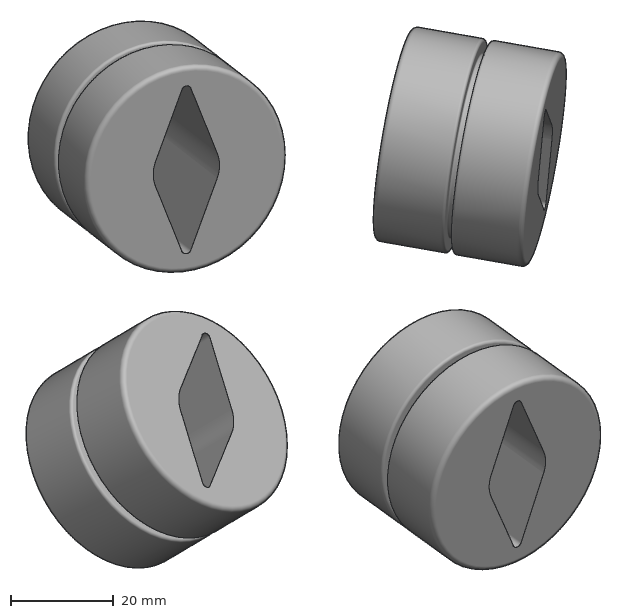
import cadquery as cq
import math

length = 30.0
radius = 21.25
end_fillet = 1.0

groove_width = 1.3
groove_floor_radius = 18.0
groove_rim_fillet = 0.6
groove_floor_fillet = 0.4

opening_half_height = 17.3
tip_radius = 1.0
waist_radius = 7.0


def make_half_body():
    """Half of the body, from the end face at -X to the middle of the groove."""
    groove_wall_x = -groove_width / 2
    land_length = length / 2 - groove_width / 2
    land = cq.Workplane("YZ", origin=(-length / 2, 0, 0)).circle(radius).extrude(land_length)
    land = land.faces("<X").edges().fillet(end_fillet)
    land = land.faces(">X").edges().fillet(groove_rim_fillet)

    fillet_end_x = groove_wall_x + groove_floor_fillet
    fillet_top = groove_floor_radius + groove_floor_fillet
    arc_offset = groove_floor_fillet * (1 - math.sqrt(0.5))
    floor = (
        cq.Workplane("XY")
        .moveTo(groove_wall_x, 0)
        .lineTo(groove_wall_x, fillet_top)
        .threePointArc(
            (groove_wall_x + arc_offset, groove_floor_radius + arc_offset),
            (fillet_end_x, groove_floor_radius),
        )
        .lineTo(0, groove_floor_radius)
        .lineTo(0, 0)
        .close()
        .revolve(360, (0, 0, 0), (1, 0, 0))
    )
    return land.union(floor)


def make_opening():
    """Diamond prism: a waist circle and two tip circles joined by tangent lines."""
    tip_center = opening_half_height - tip_radius
    side_angle = math.asin((waist_radius - tip_radius) / tip_center)
    across = math.cos(side_angle)
    along = math.sin(side_angle)
    waist_y = waist_radius * across
    waist_z = waist_radius * along
    tip_y = tip_radius * across
    tip_z = tip_center + tip_radius * along
    return (
        cq.Workplane("YZ", origin=(-length / 2, 0, 0))
        .moveTo(waist_y, waist_z)
        .lineTo(tip_y, tip_z)
        .threePointArc((0, opening_half_height), (-tip_y, tip_z))
        .lineTo(-waist_y, waist_z)
        .threePointArc((-waist_radius, 0), (-waist_y, -waist_z))
        .lineTo(-tip_y, -tip_z)
        .threePointArc((0, -opening_half_height), (tip_y, -tip_z))
        .lineTo(waist_y, -waist_z)
        .threePointArc((waist_radius, 0), (waist_y, waist_z))
        .close()
        .extrude(length)
    )


half_body = make_half_body()
body = half_body.union(half_body.mirror("YZ"))
result = body.cut(make_opening())